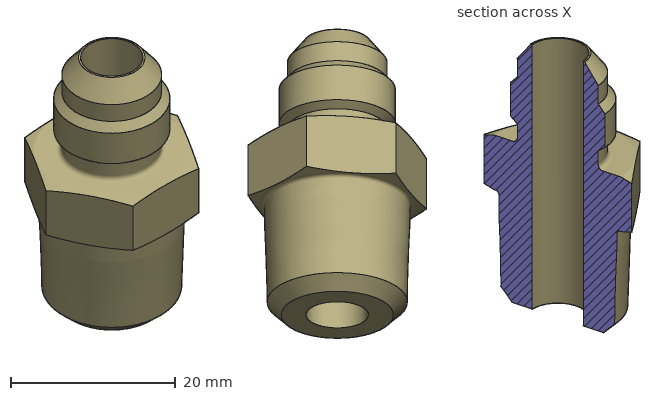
import cadquery as cq
import math

total_height = 36.32
flare_base_z = 33.7
collar_cone_top_z = 31.15
collar_top_z = 30.1
collar_bottom_z = 25.5
neck_top_z = 24.75
hex_top_z = 22.2
hex_bottom_z = 14.65
taper_top_z = 11.8
end_chamfer = 1.7

bore_diameter = 7.55
nose_diameter = 8.05
neck_diameter = 12.13
collar_diameter = 14.13
shank_diameter = 17.65
hex_across_flats = 19.05
hex_face_diameter = 18.9

neck_fillet = 0.65
shank_fillet = 0.45
hex_chamfer_angle = 15.0
shank_taper = 1 / 16

hex_across_corners = hex_across_flats / math.cos(math.radians(30))
neck_radius = neck_diameter / 2
collar_radius = collar_diameter / 2
shank_radius = shank_diameter / 2
shank_end_radius = shank_radius - (taper_top_z - end_chamfer) * shank_taper / 2


def fillet_midpoint(radius, wall_radius, face_z, side):
    """Middle of a concave fillet between a wall and a flat face; side is +1 above the face, -1 below."""
    inset = radius * (1 - math.sqrt(0.5))
    return wall_radius + inset, face_z + side * inset


def make_turned_body():
    """Revolve the flared nose, collar, neck and tapered shank."""
    return (
        cq.Workplane("XZ")
        .moveTo(0, 0)
        .lineTo(shank_end_radius - end_chamfer, 0)
        .lineTo(shank_end_radius, end_chamfer)
        .lineTo(shank_radius, taper_top_z)
        .lineTo(shank_radius, hex_bottom_z - shank_fillet)
        .threePointArc(
            fillet_midpoint(shank_fillet, shank_radius, hex_bottom_z, -1),
            (shank_radius + shank_fillet, hex_bottom_z),
        )
        .lineTo(shank_radius + shank_fillet, hex_top_z)
        .lineTo(neck_radius + neck_fillet, hex_top_z)
        .threePointArc(
            fillet_midpoint(neck_fillet, neck_radius, hex_top_z, 1),
            (neck_radius, hex_top_z + neck_fillet),
        )
        .lineTo(neck_radius, neck_top_z)
        .lineTo(collar_radius, collar_bottom_z)
        .lineTo(collar_radius, collar_top_z)
        .lineTo(neck_radius, collar_cone_top_z)
        .lineTo(neck_radius, flare_base_z)
        .lineTo(nose_diameter / 2, total_height)
        .lineTo(0, total_height)
        .close()
        .revolve(360, (0, 0), (0, 1))
    )


def make_hexagon():
    """Hexagon with corners on the Y axis, its corners chamfered conically at both ends."""
    prism = (
        cq.Workplane("XY", origin=(0, 0, hex_bottom_z))
        .polygon(6, hex_across_corners)
        .extrude(hex_top_z - hex_bottom_z)
        .rotate((0, 0, 0), (0, 0, 1), 30)
    )
    face_radius = hex_face_diameter / 2
    corner_radius = hex_across_corners / 2
    corner_drop = (corner_radius - face_radius) * math.tan(math.radians(hex_chamfer_angle))
    envelope = (
        cq.Workplane("XZ")
        .moveTo(0, hex_bottom_z)
        .lineTo(face_radius, hex_bottom_z)
        .lineTo(corner_radius, hex_bottom_z + corner_drop)
        .lineTo(corner_radius, hex_top_z - corner_drop)
        .lineTo(face_radius, hex_top_z)
        .lineTo(0, hex_top_z)
        .close()
        .revolve(360, (0, 0), (0, 1))
    )
    return prism.intersect(envelope)


def make_bore():
    """Straight bore through the full height."""
    return cq.Workplane("XY").circle(bore_diameter / 2).extrude(total_height)


result = make_turned_body().union(make_hexagon()).cut(make_bore())